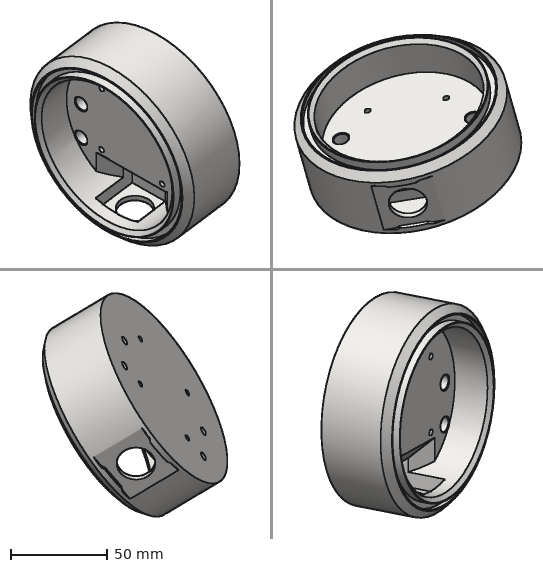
import cadquery as cq

outer_diameter = 113.0
total_length = 42.3
back_y = total_length / 2
front_y = -back_y

lip_diameter = 96.0
lip_height = 2.1
lip_mouth_diameter = 95.0
mouth_taper_depth = 2.1
rim_chamfer = 4.3
groove_diameter = 102.9
groove_depth = 3.0
rim_y = front_y + lip_height
chamfer_start_y = rim_y + rim_chamfer
groove_floor_y = rim_y + groove_depth

cavity_diameter = 90.0
cavity_floor_y = 0.8
floor_thickness = back_y - cavity_floor_y

small_hole_diameter = 3.3
small_hole_spacing = 41.7

mount_hole_diameter = 4.5
counterbore_diameter = 8.0
counterbore_chamfer = 0.5
counterbore_depth = 15.8
mount_half_spacing = 35.0
mount_rows_z = (2.3, -20.8)

socket_width = 28.9
socket_center_y = (back_y + chamfer_start_y) / 2
socket_top_z = -34.8
socket_floor_z = -50.9
flare = 10.0
socket_hole_diameter = 20.0

end_pocket_width = 31.0
end_pocket_corner_radius = 5.0
end_pocket_inner_x = 5.5
end_pocket_outer_x = 17.0
recess_top_z = -54.1


def facing_front(y):
    """Sketch plane at y with local axes along the part's X and Z; it extrudes toward -Y."""
    return cq.Workplane("XZ", origin=(0, y, 0))


def above_socket(z):
    """Sketch plane at height z, centred on the socket; it extrudes toward +Z."""
    return cq.Workplane("XY", origin=(0, socket_center_y, z))


def make_body():
    radius = outer_diameter / 2
    half_section = [
        (0, back_y),
        (radius, back_y),
        (radius, chamfer_start_y),
        (radius - rim_chamfer, rim_y),
        (groove_diameter / 2, rim_y),
        (groove_diameter / 2, groove_floor_y),
        (lip_diameter / 2, groove_floor_y),
        (lip_diameter / 2, front_y),
        (lip_mouth_diameter / 2, front_y),
        (cavity_diameter / 2, front_y + mouth_taper_depth),
        (cavity_diameter / 2, cavity_floor_y),
        (0, cavity_floor_y),
    ]
    return cq.Workplane("XY").polyline(half_section).close().revolve(360, (0, 0), (0, 1))


def make_small_holes():
    return (
        facing_front(back_y)
        .rect(small_hole_spacing, small_hole_spacing, forConstruction=True)
        .vertices()
        .circle(small_hole_diameter / 2)
        .extrude(floor_thickness)
    )


def make_mount_holes():
    """Through holes counterbored from the cavity floor, with a chamfered mouth."""
    points = [(x, z) for x in (-mount_half_spacing, mount_half_spacing) for z in mount_rows_z]
    bore_radius = counterbore_diameter / 2
    holes = facing_front(back_y).pushPoints(points).circle(mount_hole_diameter / 2).extrude(floor_thickness)
    counterbores = (
        facing_front(cavity_floor_y + counterbore_depth)
        .pushPoints(points)
        .circle(bore_radius)
        .extrude(counterbore_depth)
    )
    mouths = (
        facing_front(cavity_floor_y)
        .pushPoints(points)
        .circle(bore_radius + counterbore_chamfer)
        .extrude(-counterbore_chamfer, taper=45)
    )
    return holes.union(counterbores).union(mouths)


def make_flare():
    """Opening in the cavity floor that narrows to the socket, within the cavity's round wall."""
    bottom_z = -cavity_diameter / 2
    narrow_height = socket_top_z - bottom_z
    wedge = (
        facing_front(cavity_floor_y + flare)
        .center(0, bottom_z + narrow_height / 2)
        .rect(socket_width, narrow_height)
        .workplane(offset=flare)
        .center(0, flare / 2)
        .rect(socket_width + 2 * flare, narrow_height + flare)
        .loft(ruled=True)
    )
    cavity_bore = facing_front(back_y).circle(cavity_diameter / 2).extrude(total_length)
    return wedge.intersect(cavity_bore)


def make_socket():
    """Square room opening into the cavity, with a round hole down to the recess."""
    room_height = socket_top_z - socket_floor_z
    room = above_socket(socket_floor_z).rect(socket_width, socket_width).extrude(room_height)
    hole_depth = socket_floor_z - recess_top_z
    hole = above_socket(recess_top_z).circle(socket_hole_diameter / 2).extrude(hole_depth)
    return room.union(hole)


def make_recess():
    bottom_z = -outer_diameter / 2
    depth = recess_top_z - bottom_z
    square = above_socket(bottom_z).rect(socket_width, socket_width).extrude(depth)
    pocket_length = end_pocket_outer_x - end_pocket_inner_x
    pocket_center_x = (end_pocket_outer_x + end_pocket_inner_x) / 2
    pocket = (
        above_socket(bottom_z)
        .center(pocket_center_x, 0)
        .rect(pocket_length, end_pocket_width)
        .extrude(depth)
        .edges("|Z and <X")
        .fillet(end_pocket_corner_radius)
    )
    return square.union(pocket).union(pocket.mirror("YZ"))


result = make_body()
for cut in (make_small_holes(), make_mount_holes(), make_flare(), make_socket(), make_recess()):
    result = result.cut(cut)